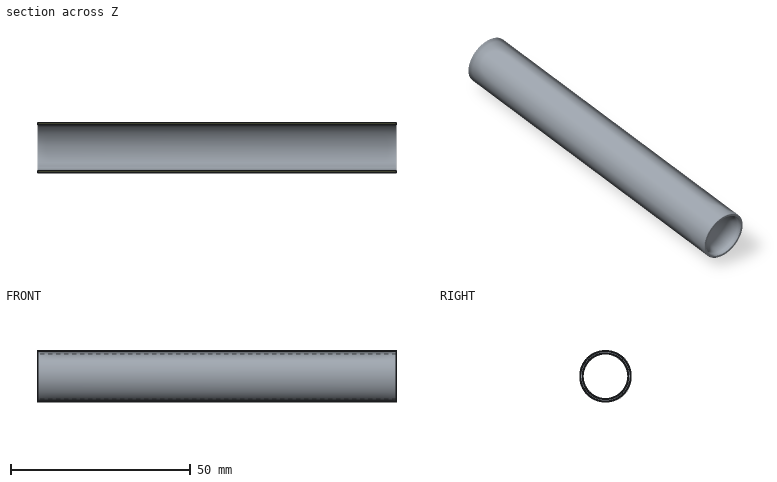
import cadquery as cq

length = 100.0
outer_diameter = 14.2
bore_diameter = 12.6
edge_break = 0.1

tube = (
    cq.Workplane("YZ", origin=(-length / 2, 0, 0))
    .circle(outer_diameter / 2)
    .circle(bore_diameter / 2)
    .extrude(length)
)

result = tube.faces("<X or >X").edges().chamfer(edge_break)